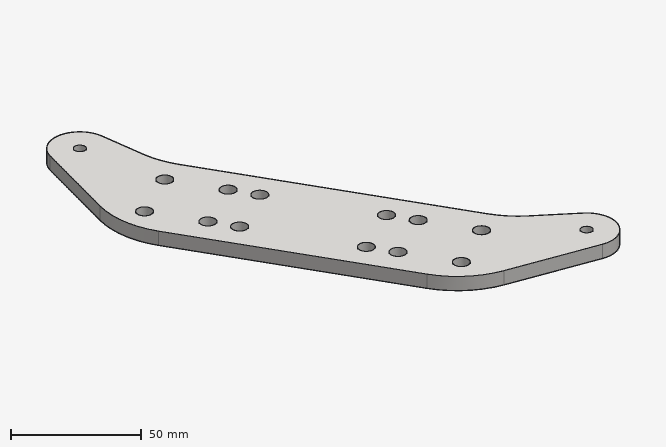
import cadquery as cq
import math

length = 228.5
pitch = length / 18
thickness = pitch / 2
ear_radius = pitch
ear_x = length / 2 - ear_radius
plate_depth = 4 * pitch
ear_hole_diameter = 5.0
grid_hole_diameter = 6.9
grid_columns = (2 * pitch, 3 * pitch, 5 * pitch)
grid_rows = (-pitch, -3 * pitch)
corner_x = 5.5 * pitch
blend_radius = 3 * pitch

ear_overhang = ear_x - corner_x
upper_slope = math.asin(ear_radius / ear_overhang)
lower_slope = math.atan2(plate_depth, ear_overhang) - math.asin(
    ear_radius / math.hypot(ear_overhang, plate_depth)
)
upper_tangent = (
    ear_x - ear_radius * math.sin(upper_slope),
    ear_radius * math.cos(upper_slope),
)
lower_tangent = (
    ear_x + ear_radius * math.sin(lower_slope),
    -ear_radius * math.cos(lower_slope),
)
ear_tip = (length / 2, 0)


def mirrored(point):
    return (-point[0], point[1])


def make_plate():
    """Symmetric plate with a round ear at each end and blended corners."""
    plate = (
        cq.Workplane("XY")
        .moveTo(-corner_x, -plate_depth)
        .lineTo(corner_x, -plate_depth)
        .lineTo(*lower_tangent)
        .threePointArc(ear_tip, upper_tangent)
        .lineTo(corner_x, 0)
        .lineTo(-corner_x, 0)
        .lineTo(*mirrored(upper_tangent))
        .threePointArc(mirrored(ear_tip), mirrored(lower_tangent))
        .close()
        .extrude(thickness)
    )
    plate = blend_corners(plate, -plate_depth)
    return blend_corners(plate, 0)


def blend_corners(plate, corner_y):
    """Round the mirrored pair of vertical edges at (+/-corner_x, corner_y)."""
    for x in (-corner_x, corner_x):
        corner = cq.selectors.NearestToPointSelector((x, corner_y, thickness / 2))
        plate = plate.edges("|Z").edges(corner).fillet(blend_radius)
    return plate


def drill(plate, points, diameter):
    """Cut through holes at the given plan positions."""
    holes = cq.Workplane("XY").pushPoints(points).circle(diameter / 2).extrude(thickness)
    return plate.cut(holes)


grid_points = [(side * x, y) for side in (-1, 1) for x in grid_columns for y in grid_rows]
ear_points = [(-ear_x, 0), (ear_x, 0)]

result = make_plate()
result = drill(result, grid_points, grid_hole_diameter)
result = drill(result, ear_points, ear_hole_diameter)